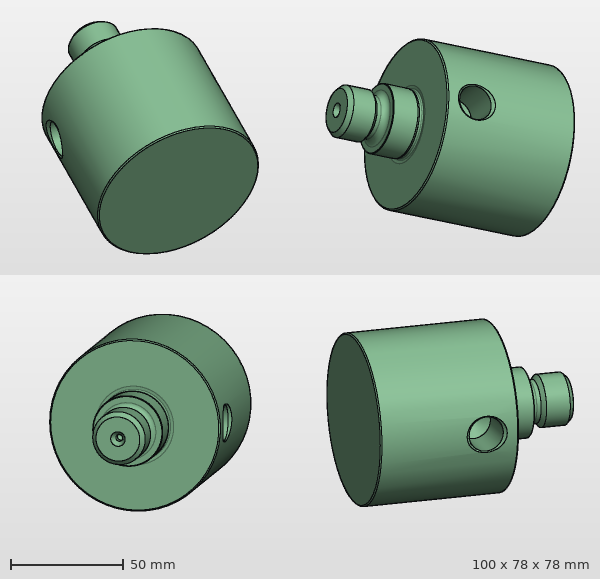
import cadquery as cq
import math

total_length = 100.0
body_start = 35.1
collar_start = 20.2
tip_chamfer = 2.2
spigot_end = 13.3
neck_start = 15.2
relief_start = 32.6
relief_floor_start = 33.5

body_diameter = 78.0
collar_diameter = 32.0
spigot_diameter = 24.0
tip_diameter = 20.0
neck_diameter = 19.8
relief_diameter = 31.4
face_relief_diameter = 35.6

body_chamfer = 0.6
collar_chamfer = 0.3
neck_fillet = 3.0
relief_fillet = 0.6
face_relief_depth = 0.2

side_hole_x = 50.0
side_hole_diameter = 16.0
side_hole_depth = 20.0
side_hole_rim_diameter = 18.8
side_hole_rim_half_angle = math.radians(45)
drill_half_angle = math.radians(59)

centre_rim_diameter = 6.6
centre_pilot_diameter = 3.1
centre_pilot_length = 3.0
centre_half_angle = math.radians(30)


def drill(diameter, rim_diameter, rim_half_angle, depth):
    """Drill solid along +X from the origin: flared rim, cylinder up to depth, conical point."""
    radius = diameter / 2
    rim_radius = rim_diameter / 2
    rim_depth = (rim_radius - radius) / math.tan(rim_half_angle)
    point_length = radius / math.tan(drill_half_angle)
    return (
        cq.Workplane("XY")
        .lineTo(0, rim_radius)
        .lineTo(rim_depth, radius)
        .lineTo(depth, radius)
        .lineTo(depth + point_length, 0)
        .close()
        .revolve(360, (0, 0, 0), (1, 0, 0))
    )


def turned_body():
    """Spigot, neck, collar, undercut and main cylinder as one revolved profile."""
    body_radius = body_diameter / 2
    collar_radius = collar_diameter / 2
    spigot_radius = spigot_diameter / 2
    neck_radius = neck_diameter / 2
    relief_radius = relief_diameter / 2
    relief_bottom = body_start + face_relief_depth
    arc_share = math.sqrt(0.5)

    neck_arc_x = collar_start - neck_fillet
    neck_arc_radius = neck_radius + neck_fillet
    neck_arc_middle = (
        neck_arc_x + neck_fillet * arc_share,
        neck_arc_radius - neck_fillet * arc_share,
    )
    relief_arc_x = relief_bottom - relief_fillet
    relief_arc_radius = relief_radius + relief_fillet
    relief_arc_middle = (
        relief_arc_x + relief_fillet * arc_share,
        relief_arc_radius - relief_fillet * arc_share,
    )
    return (
        cq.Workplane("XY")
        .lineTo(0, tip_diameter / 2)
        .lineTo(tip_chamfer, spigot_radius)
        .lineTo(spigot_end, spigot_radius)
        .lineTo(neck_start, neck_radius)
        .lineTo(neck_arc_x, neck_radius)
        .threePointArc(neck_arc_middle, (collar_start, neck_arc_radius))
        .lineTo(collar_start, collar_radius - collar_chamfer)
        .lineTo(collar_start + collar_chamfer, collar_radius)
        .lineTo(relief_start, collar_radius)
        .lineTo(relief_floor_start, relief_radius)
        .lineTo(relief_arc_x, relief_radius)
        .threePointArc(relief_arc_middle, (relief_bottom, relief_arc_radius))
        .lineTo(body_start, face_relief_diameter / 2)
        .lineTo(body_start, body_radius - body_chamfer)
        .lineTo(body_start + body_chamfer, body_radius)
        .lineTo(total_length - body_chamfer, body_radius)
        .lineTo(total_length, body_radius - body_chamfer)
        .lineTo(total_length, 0)
        .close()
        .revolve(360, (0, 0, 0), (1, 0, 0))
    )


result = turned_body()

centre_cone_depth = (centre_rim_diameter - centre_pilot_diameter) / 2 / math.tan(centre_half_angle)
result = result.cut(
    drill(
        centre_pilot_diameter,
        centre_rim_diameter,
        centre_half_angle,
        centre_cone_depth + centre_pilot_length,
    )
)

side_drill = drill(side_hole_diameter, side_hole_rim_diameter, side_hole_rim_half_angle, side_hole_depth)
for inward_turn in (90, -90):
    side_y = -math.copysign(body_diameter / 2, inward_turn)
    result = result.cut(
        side_drill.rotate((0, 0, 0), (0, 0, 1), inward_turn).translate((side_hole_x, side_y, 0))
    )